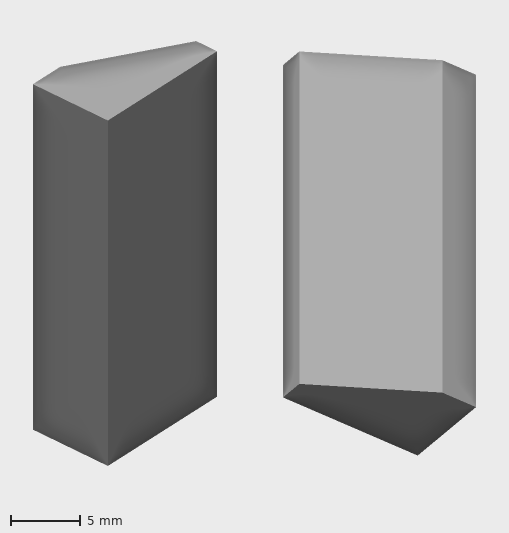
import cadquery as cq

width = 7.2
depth = 12.0
height = 30.0

side_land = 3.0
back_land = 2.0

section = [
    (0, 0),
    (width, 0),
    (width, depth),
    (width - back_land, depth),
    (0, side_land),
]

result = cq.Workplane("XY").polyline(section).close().extrude(height)